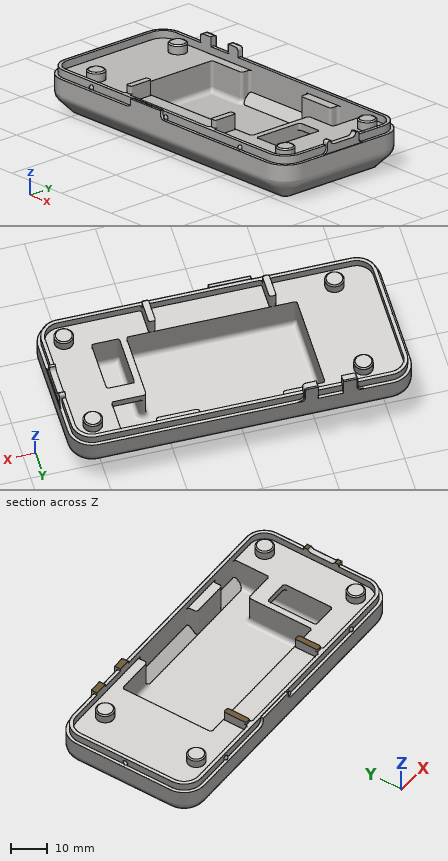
import cadquery as cq
import math

length = 96.6
width = 44.4
half_length = length / 2
half_width = width / 2
corner_radius = 6.8
base_inset = 5.0
base_round = 3.0
shoulder_z = 11.1

rim_outer_inset = 1.0
rim_inner_inset = 2.0
rim_z = 13.4
deck_z = 11.2
inner_y = half_width - rim_inner_inset

floor_z = 2.0
floor_round = 1.5
wall_round = 0.8
pocket_west = -23.8
pocket_east = 34.2
pocket_south = -12.2
shelf_y = 17.3
shelf_east = -11.8
tongue_west = 24.3
tongue_east = 26.3
bridge_south = 3.9
bridge_north = 8.8
bridge_thickness = 2.0
pillar_west = 11.9
pillar_east = 24.0

pin_diameter = 5.3
pin_top_z = 14.0
pin_chamfer = 0.4
pin_west = -35.2
pin_east = 41.15
pin_y = 15.1

rib_width = 1.9
rib_top_z = 15.7
rib_round = 0.6
rib_clearance = 0.5
rib_centers = (-17.0, 17.0)

block_base_round = 1.5
block_inset = 0.3
hump_west = -13.4
hump_east = -1.45
hump_top_z = 13.6
tab_west = -31.7
tab_east = -16.6
tab_top_z = 16.2
tab_top_round = 1.0
tab_edge_chamfer = 0.3
tab_gap_west = -27.5
tab_gap_east = -20.5
clip_half_width = 5.8
clip_top_z = 14.7
clip_top_round = 0.7
clip_gap_half_width = 4.6
clip_gap_round = 1.45

dimple_radius = 0.72
dimple_z = 11.8
front_dimples = (-30.1, -0.2, 29.8)

pick_margin = 0.1


def span_box(x0, x1, y0, y1, z0, z1):
    """Box given by its limits along each axis."""
    return cq.Workplane("XY").box(x1 - x0, y1 - y0, z1 - z0, centered=False).translate((x0, y0, z0))


def rounded_plate(inset, z0, z1):
    """Plate following the body outline at a constant inset."""
    plate = cq.Workplane("XY").workplane(offset=z0)
    plate = plate.rect(length - 2 * inset, width - 2 * inset).extrude(z1 - z0)
    return plate.edges("|Z").fillet(corner_radius - inset)


def level_edges(z):
    """Selector for the edges lying at the given height."""
    return cq.selectors.BoxSelector(
        (-length, -length, z - pick_margin), (length, length, z + pick_margin)
    )


def column_edges(x, y):
    """Selector for the edges standing upright at the given place."""
    return cq.selectors.BoxSelector(
        (x - pick_margin, y - pick_margin, 0), (x + pick_margin, y + pick_margin, rim_z)
    )


def make_body():
    body = rounded_plate(0, 0, shoulder_z)
    body = body.faces("<Z").chamfer(base_inset)
    return body.edges(level_edges(base_inset)).fillet(base_round)


def make_web(x0, x1, y0, y1, z0, z1, corners, round_size):
    """Upright block whose chosen vertical corners are rounded."""
    return span_box(x0, x1, y0, y1, z0, z1).edges(corners).fillet(round_size)


def wall_flare(x0, x1, wall_y, outward, round_size, z0, z1):
    """Concave roundings where a block from x0 to x1 meets a wall at wall_y."""
    tip_y = wall_y + outward * round_size
    flare = span_box(
        x0 - round_size, x1 + round_size, min(wall_y, tip_y), max(wall_y, tip_y), z0, z1
    )
    for x in (x0 - round_size, x1 + round_size):
        hollow = cq.Workplane("XY").workplane(offset=z0).center(x, tip_y)
        flare = flare.cut(hollow.circle(round_size).extrude(z1 - z0))
    return flare


def make_pillar():
    """Pillar left standing against the back wall of the pocket."""
    pillar = make_web(
        pillar_west, pillar_east, shelf_y, inner_y, floor_z, rim_z, "|Z and <Y", wall_round
    )
    return pillar.union(
        wall_flare(pillar_west, pillar_east, inner_y, -1, wall_round, floor_z, rim_z)
    )


def make_hollow():
    """Full hollow with its floor rounding, before anything is left standing in it."""
    inward_corners = [
        (shelf_east, shelf_y),
        (tongue_west, bridge_north),
        (tongue_east, bridge_north),
    ]
    outline = [
        (pocket_west, pocket_south),
        (tongue_west, pocket_south),
        (tongue_west, bridge_north),
        (tongue_east, bridge_north),
        (tongue_east, pocket_south),
        (pocket_east, pocket_south),
        (pocket_east, inner_y),
        (shelf_east, inner_y),
        (shelf_east, shelf_y),
        (pocket_west, shelf_y),
    ]
    hollow = cq.Workplane("XY").workplane(offset=floor_z).polyline(outline).close()
    hollow = hollow.extrude(rim_z - floor_z)
    for x, y in inward_corners:
        hollow = hollow.edges(column_edges(x, y)).fillet(wall_round)
    hollow = hollow.faces("<Z").edges().fillet(floor_round)
    outward_corners = [corner for corner in outline if corner not in inward_corners]
    for x, y in outward_corners:
        hollow = hollow.edges("|Z").edges(column_edges(x, y)).fillet(wall_round)
    return hollow


def make_floor_slope():
    """Sloped floor along the back wall, parallel to the outer base chamfer."""
    run = inner_y - shelf_y
    slope = cq.Workplane("YZ").workplane(offset=shelf_east)
    slope = slope.polyline([(shelf_y, floor_z), (inner_y, floor_z), (inner_y, floor_z + run)]).close()
    return slope.extrude(pocket_east - shelf_east)


def make_bridge():
    """Thin strip of deck spanning the hollow from the tongue to the east wall."""
    underside_z = deck_z - bridge_thickness
    return span_box(
        tongue_west + wall_round, pocket_east, bridge_south, bridge_north, underside_z, rim_z
    )


def make_pocket():
    """Hollow to remove, less the slope, pillar and bridge that stay in it."""
    pocket = make_hollow().cut(make_floor_slope()).cut(make_pillar()).cut(make_bridge())
    bridge_corners = [
        (tongue_east, bridge_south),
        (pocket_east, bridge_south),
        (pocket_east, bridge_north),
    ]
    for x, y in bridge_corners:
        pocket = pocket.edges("|Z").edges(column_edges(x, y)).edges(">Z").fillet(wall_round)
    return pocket


def make_rib(center_x):
    x0 = center_x - rib_width / 2
    x1 = center_x + rib_width / 2
    rib = make_web(x0, x1, rib_clearance - inner_y, pocket_south, deck_z, rib_top_z, "|Z", rib_round)
    root = span_box(x0, x1, -inner_y, 2 * rib_round - inner_y, deck_z, rim_z)
    return rib.union(root).union(wall_flare(x0, x1, -inner_y, 1, rib_round, deck_z, rim_z))


def make_pin(x, y):
    pin = cq.Workplane("XY").workplane(offset=deck_z).center(x, y)
    pin = pin.circle(pin_diameter / 2).extrude(pin_top_z - deck_z)
    return pin.faces(">Z").chamfer(pin_chamfer)


def make_block(plane, start, end, top_z, top_round, depth):
    """Block on the shoulder with flared feet, extruded along the normal of the plane."""
    foot = block_base_round
    dip = foot * (1 - math.sqrt(0.5))
    profile = cq.Workplane(plane).moveTo(start - foot, shoulder_z)
    profile = profile.threePointArc(
        (start - dip, shoulder_z + dip), (start, shoulder_z + foot)
    )
    profile = profile.lineTo(start, top_z).lineTo(end, top_z).lineTo(end, shoulder_z + foot)
    profile = profile.threePointArc((end + dip, shoulder_z + dip), (end + foot, shoulder_z))
    block = profile.close().extrude(depth)
    if top_round > 0:
        along = "|Y" if plane == "XZ" else "|X"
        block = block.edges(along).edges(level_edges(top_z)).fillet(top_round)
    return block


def make_hump():
    """Low block on the front shoulder, flush with the outer wall."""
    hump = make_block("XZ", hump_west, hump_east, hump_top_z, 0, rim_outer_inset)
    return hump.translate((0, rim_outer_inset - half_width, 0))


def make_back_tabs():
    """Pair of tall tabs on the back edge: one block split by a gap."""
    tabs = make_block("XZ", tab_west, tab_east, tab_top_z, tab_top_round, rim_inner_inset)
    tabs = tabs.translate((0, half_width, 0))
    tabs = tabs.faces(">Z").edges(">Y").chamfer(tab_edge_chamfer)
    return tabs.cut(
        span_box(tab_gap_west, tab_gap_east, inner_y, half_width, shoulder_z, tab_top_z)
    )


def make_side_clip():
    """Pair of low lugs on the +X edge, joined by a saddle level with the rim."""
    depth = rim_inner_inset - block_inset
    clip = make_block("YZ", -clip_half_width, clip_half_width, clip_top_z, clip_top_round, depth)
    clip = clip.translate((half_length - rim_inner_inset, 0, 0))
    saddle = span_box(
        half_length - rim_inner_inset,
        half_length,
        -clip_gap_half_width,
        clip_gap_half_width,
        rim_z,
        rim_z + 2 * clip_gap_round,
    )
    return clip.cut(saddle.edges("|X and <Z").fillet(clip_gap_round))


def make_dimple(x, y):
    return cq.Workplane("XY").sphere(dimple_radius).translate((x, y, dimple_z))


result = make_body().union(rounded_plate(rim_outer_inset, shoulder_z, rim_z))
result = result.union(make_hump()).union(make_back_tabs()).union(make_side_clip())
result = result.cut(rounded_plate(rim_inner_inset, deck_z, rim_z))
result = result.cut(make_pocket())

for rib_x in rib_centers:
    result = result.union(make_rib(rib_x))

for pin_x in (pin_west, pin_east):
    for side in (-1, 1):
        result = result.union(make_pin(pin_x, side * pin_y))

for dimple_x in front_dimples:
    result = result.cut(make_dimple(dimple_x, rim_outer_inset - half_width))
result = result.cut(make_dimple(rim_outer_inset - half_length, 0))